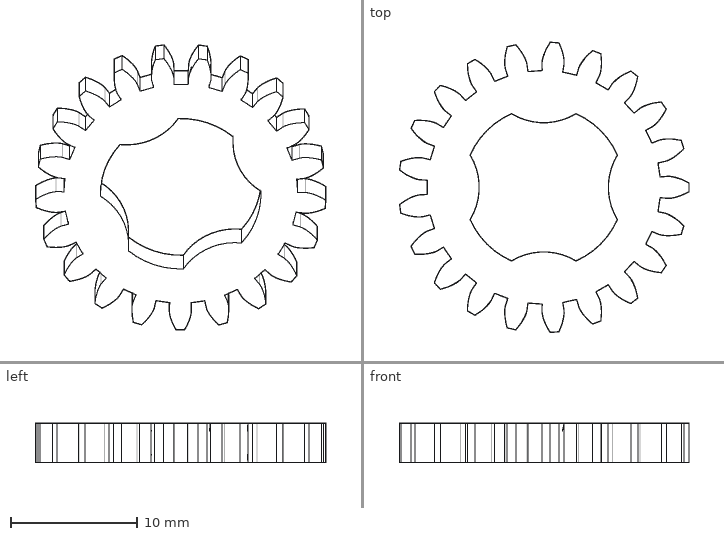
import cadquery as cq
import math

module = 1.0
tooth_count = 21
pressure_angle = math.radians(20)
thickness = 3.12
root_clearance = 0.25 * module

pitch_radius = module * tooth_count / 2
base_radius = pitch_radius * math.cos(pressure_angle)
tip_radius = pitch_radius + module
root_radius = pitch_radius - module - root_clearance
tooth_pitch_angle = 2 * math.pi / tooth_count
flank_point_count = 6

bore_radius = 6.35
lobe_count = 4
lobe_inner_radius = 5.1
lobe_half_width = 2.55


def polar(radius, angle):
    return (radius * math.cos(angle), radius * math.sin(angle))


def involute(angle):
    return math.tan(angle) - angle


base_half_angle = math.pi / (2 * tooth_count) + involute(pressure_angle)


def flank_half_angle(radius):
    """Half the angle covered by a tooth at a radius outside the base circle."""
    return base_half_angle - involute(math.acos(base_radius / radius))


def flank_points(center_angle, side):
    """Points from base circle to tip on one flank; side is -1 or +1."""
    step = (tip_radius - base_radius) / (flank_point_count - 1)
    radii = [base_radius + step * i for i in range(flank_point_count - 1)] + [tip_radius]
    return [polar(r, center_angle + side * flank_half_angle(r)) for r in radii]


def add_tooth(outline, center_angle):
    """Extend the outline over one flat-topped tooth and along the flat root to the next."""
    rising = flank_points(center_angle, -1)
    falling = flank_points(center_angle, 1)[::-1]
    next_angle = center_angle + tooth_pitch_angle
    outline = outline.lineTo(*rising[0]).spline(rising[1:], includeCurrent=True)
    outline = outline.lineTo(*falling[0])
    outline = outline.spline(falling[1:], includeCurrent=True)
    outline = outline.lineTo(*polar(root_radius, center_angle + base_half_angle))
    return outline.lineTo(*polar(root_radius, next_angle - base_half_angle))


def make_gear_blank():
    """Solid toothed disc standing on the XY plane, one tooth centred on +X."""
    outline = cq.Workplane("XY").moveTo(*polar(root_radius, -base_half_angle))
    for i in range(tooth_count):
        outline = add_tooth(outline, i * tooth_pitch_angle)
    return outline.close().extrude(thickness)


def make_bore():
    """Solid with the shape of the through bore."""
    lobe_half_angle = math.asin(lobe_half_width / bore_radius)
    lobe_pitch_angle = 2 * math.pi / lobe_count
    outline = cq.Workplane("XY").moveTo(*polar(bore_radius, -lobe_half_angle))
    for i in range(lobe_count):
        lobe_angle = i * lobe_pitch_angle
        outline = outline.threePointArc(
            polar(lobe_inner_radius, lobe_angle),
            polar(bore_radius, lobe_angle + lobe_half_angle),
        )
        outline = outline.threePointArc(
            polar(bore_radius, lobe_angle + lobe_pitch_angle / 2),
            polar(bore_radius, lobe_angle + lobe_pitch_angle - lobe_half_angle),
        )
    return outline.close().extrude(thickness)


result = make_gear_blank().cut(make_bore())